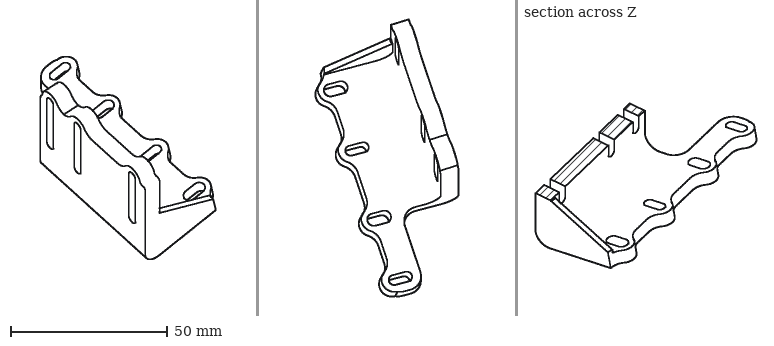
import cadquery as cq
import math

WALL_WIDTH = 52.0
WALL_HEIGHT = 42.0
WALL_THICKNESS = 6.0
ARM_LENGTH = 26.0
SHELF_THICKNESS = 5.0
SHELF_TILT = 10.0
TOTAL_DEPTH = 33.57

BEND_RADIUS = SHELF_THICKNESS
CORNER_RADIUS = 5.0
SMALL_RADIUS = 1.0
LOBE_RADIUS = 4.0
BLEND_RADIUS = 5.0

WALL_SLOT_X = (5.0, 18.5, 45.5)
WALL_SLOT_WIDTH = 3.2
WALL_SLOT_TRAVEL = 21.2

NARROW_WIDTH, NARROW_TRAVEL = 3.3, 4.5
WIDE_WIDTH, WIDE_TRAVEL = 4.1, 3.8
SHELF_SLOTS = (
    (-21.5, NARROW_WIDTH, NARROW_TRAVEL),
    (-0.5, WIDE_WIDTH, WIDE_TRAVEL),
    (23.5, NARROW_WIDTH, NARROW_TRAVEL),
    (44.5, WIDE_WIDTH, WIDE_TRAVEL),
)
ARM_FRONT = 19.7

GUSSET_THICKNESS = 2.0
GUSSET_TOP = 20.9
GUSSET_LAND = 0.4
GUSSET_SLOPE = 25.0

SIN = math.sin(math.radians(SHELF_TILT))
COS = math.cos(math.radians(SHELF_TILT))
KNEE_MIDDLE = 180 + (90 + SHELF_TILT) / 2
WALL_EDGE = WALL_HEIGHT - LOBE_RADIUS
SHELF_REACH = (TOTAL_DEPTH - BEND_RADIUS - SHELF_THICKNESS * SIN) / COS
SHELF_EDGE = SHELF_REACH - LOBE_RADIUS
SHELF_ROOT = (WALL_THICKNESS - BEND_RADIUS + BEND_RADIUS * (1 + SIN)) / COS
WALL_ROOT = BEND_RADIUS + SHELF_ROOT * SIN + BEND_RADIUS * COS

TOWARD_UPPER_RIGHT = 45.0
TOWARD_LEFT = 165.0
TOWARD_LOWER_LEFT = 225.0

WALL_FACE = cq.Plane(origin=(0, 0, 0), xDir=(1, 0, 0), normal=(0, -1, 0))
SHELF_FACE = cq.Plane(origin=(0, BEND_RADIUS, BEND_RADIUS), xDir=(1, 0, 0), normal=(0, -SIN, COS))


def arc_through(work, centre, radius, middle_angle, end):
    """Add an arc passing the given angle (degrees) about its centre."""
    angle = math.radians(middle_angle)
    middle = (centre[0] + radius * math.cos(angle), centre[1] + radius * math.sin(angle))
    return work.threePointArc(middle, end)


def corner_drop(inset):
    """Distance along the side edge from a corner's centre to where it has moved in by inset."""
    return math.sqrt(CORNER_RADIUS**2 - (CORNER_RADIUS - inset) ** 2)


def blend_offset(blend):
    """Distance along the edge from a lobe's centre to the foot of its blend."""
    return math.sqrt((LOBE_RADIUS + blend) ** 2 - blend**2)


def lobe(plane, x, edge, depth, left_blend, right_blend):
    """Round lobe centred on a straight edge; a blend radius of zero ends it plainly."""

    def side(sign, blend):
        offset = blend_offset(blend)
        share = LOBE_RADIUS / (LOBE_RADIUS + blend)
        foot = (x + sign * offset, edge)
        tangent = (x + sign * offset * share, edge + blend * share)
        half_turn = 0.5 * math.atan2(offset, blend)
        middle = (
            foot[0] - sign * blend * math.sin(half_turn),
            edge + blend * (1 - math.cos(half_turn)),
        )
        return foot, middle, tangent

    left_foot, left_middle, left_tangent = side(-1, left_blend)
    right_foot, right_middle, right_tangent = side(1, right_blend)
    outline = cq.Workplane(plane).moveTo(*left_foot)
    if left_blend:
        outline = outline.threePointArc(left_middle, left_tangent)
    outline = outline.threePointArc((x, edge + LOBE_RADIUS), right_tangent)
    if right_blend:
        outline = outline.threePointArc(right_middle, right_foot)
    return outline.close().extrude(-depth)


def slot(plane, x, top, width, travel, depth):
    """Through slot whose upper end centre is at (x, top)."""
    centre = (x, top - travel / 2)
    return cq.Workplane(plane).center(*centre).slot2D(travel + width, width, 90).extrude(-depth)


def make_wall():
    """Upright plate with a lobe above each of its three long slots."""
    inset = WALL_SLOT_X[0] - LOBE_RADIUS
    corner = (CORNER_RADIUS, WALL_EDGE - corner_drop(inset))
    outline = cq.Workplane(WALL_FACE).moveTo(0, WALL_ROOT).lineTo(0, corner[1])
    outline = arc_through(outline, corner, CORNER_RADIUS, TOWARD_LEFT, (inset, WALL_EDGE))
    outline = outline.lineTo(WALL_WIDTH - SMALL_RADIUS, WALL_EDGE)
    outline = outline.radiusArc((WALL_WIDTH, WALL_EDGE - SMALL_RADIUS), SMALL_RADIUS)
    wall = outline.lineTo(WALL_WIDTH, WALL_ROOT).close().extrude(-WALL_THICKNESS)

    blends = ((0, BLEND_RADIUS), (BLEND_RADIUS, BLEND_RADIUS), (BLEND_RADIUS, SMALL_RADIUS))
    for x, (left, right) in zip(WALL_SLOT_X, blends):
        wall = wall.union(lobe(WALL_FACE, x, WALL_EDGE, WALL_THICKNESS, left, right))
    for x in WALL_SLOT_X:
        wall = wall.cut(slot(WALL_FACE, x, WALL_EDGE, WALL_SLOT_WIDTH, WALL_SLOT_TRAVEL, WALL_THICKNESS))
    return wall


def front_cutter():
    """Upright block that leaves the arm's front face and its two rounded corners."""
    left = -ARM_LENGTH
    inner_corner = (-CORNER_RADIUS, ARM_FRONT - CORNER_RADIUS)
    outer_corner = (left + CORNER_RADIUS, ARM_FRONT + CORNER_RADIUS)
    outline = cq.Workplane("XY").lineTo(0, inner_corner[1])
    arm_start = (inner_corner[0], ARM_FRONT)
    outline = arc_through(outline, inner_corner, CORNER_RADIUS, TOWARD_UPPER_RIGHT, arm_start)
    outline = outline.lineTo(outer_corner[0], ARM_FRONT)
    outline = arc_through(outline, outer_corner, CORNER_RADIUS, TOWARD_LOWER_LEFT, (left, outer_corner[1]))
    return outline.lineTo(left, 0).close().extrude(WALL_HEIGHT)


def make_shelf():
    """Tilted plate and arm with a lobe behind each of its four slots."""
    left = -ARM_LENGTH
    inset = SHELF_SLOTS[0][0] - LOBE_RADIUS - left
    corner = (left + CORNER_RADIUS, SHELF_EDGE - corner_drop(inset))
    outline = cq.Workplane(SHELF_FACE).moveTo(left, SHELF_ROOT).lineTo(left, corner[1])
    outline = arc_through(outline, corner, CORNER_RADIUS, TOWARD_LEFT, (left + inset, SHELF_EDGE))
    outline = outline.lineTo(WALL_WIDTH, SHELF_EDGE).lineTo(WALL_WIDTH, SHELF_ROOT)
    shelf = outline.close().extrude(-SHELF_THICKNESS)

    for index, (x, _, _) in enumerate(SHELF_SLOTS):
        left_blend = BLEND_RADIUS if index else 0
        shelf = shelf.union(lobe(SHELF_FACE, x, SHELF_EDGE, SHELF_THICKNESS, left_blend, BLEND_RADIUS))
    for x, width, travel in SHELF_SLOTS:
        shelf = shelf.cut(slot(SHELF_FACE, x, SHELF_EDGE, width, travel, SHELF_THICKNESS))
    return shelf.cut(front_cutter())


def shelf_point(along, below=0.0):
    """(y, z) of a point on the shelf section."""
    return (
        BEND_RADIUS + along * COS + below * SIN,
        BEND_RADIUS + along * SIN - below * COS,
    )


def make_bend():
    """Rounded knee joining the wall to the shelf."""
    centre = (BEND_RADIUS, BEND_RADIUS)
    inner = (WALL_THICKNESS + BEND_RADIUS, WALL_ROOT)
    section = cq.Workplane("YZ").moveTo(0, WALL_ROOT).lineTo(0, BEND_RADIUS)
    section = arc_through(section, centre, BEND_RADIUS, KNEE_MIDDLE, shelf_point(0, SHELF_THICKNESS))
    section = section.lineTo(*shelf_point(SHELF_ROOT, SHELF_THICKNESS)).lineTo(*shelf_point(SHELF_ROOT))
    section = arc_through(section, inner, BEND_RADIUS, KNEE_MIDDLE, (WALL_THICKNESS, WALL_ROOT))
    return section.close().extrude(WALL_WIDTH)


def make_gusset():
    """Triangular web at the right end, its tip following the shelf's last lobe blend."""
    left = WALL_WIDTH - GUSSET_THICKNESS
    slope_top = WALL_THICKNESS + GUSSET_LAND
    slope = math.tan(math.radians(GUSSET_SLOPE))
    tip = (GUSSET_TOP - BEND_RADIUS + (slope_top - BEND_RADIUS) * slope) / (SIN + COS * slope)
    web = (
        cq.Workplane("YZ", origin=(left, 0, 0))
        .moveTo(WALL_THICKNESS, GUSSET_TOP)
        .lineTo(slope_top, GUSSET_TOP)
        .lineTo(*shelf_point(tip))
        .lineTo(*shelf_point(SHELF_ROOT))
    )
    inner = (WALL_THICKNESS + BEND_RADIUS, WALL_ROOT)
    web = arc_through(web, inner, BEND_RADIUS, KNEE_MIDDLE, (WALL_THICKNESS, WALL_ROOT))
    web = web.close().extrude(GUSSET_THICKNESS)

    blend_foot = (SHELF_SLOTS[-1][0] + blend_offset(BLEND_RADIUS), SHELF_EDGE)
    blend_rise = BLEND_RADIUS - math.sqrt(BLEND_RADIUS**2 - (blend_foot[0] - left) ** 2)
    trim = (
        cq.Workplane(SHELF_FACE)
        .moveTo(left, SHELF_EDGE + blend_rise)
        .radiusArc(blend_foot, -BLEND_RADIUS)
        .lineTo(WALL_WIDTH, SHELF_EDGE)
        .lineTo(WALL_WIDTH, SHELF_EDGE + 2 * LOBE_RADIUS)
        .lineTo(left, SHELF_EDGE + 2 * LOBE_RADIUS)
        .close()
        .extrude(GUSSET_TOP)
    )
    return web.cut(trim)


result = make_wall().union(make_bend()).union(make_shelf()).union(make_gusset()).clean()